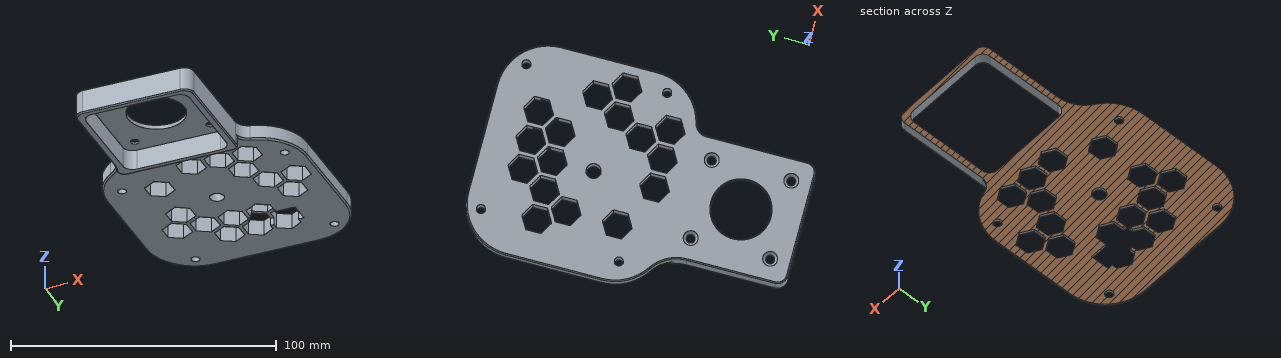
import cadquery as cq
import math

total_height = 10.4
plate_thickness = 6.5
plate_bottom = total_height - plate_thickness
edge_chamfer = 0.5
plate_underside_chamfer = 0.6

plate_width = 82.5
plate_half_width = plate_width / 2
plate_back = 62.4
plate_front_tangent = 5.0
plate_corner_radius = 20.0

motor_x = -1.7
motor_y = -38.8
neck_width = 48.0
neck_left = motor_x - neck_width / 2
neck_right = motor_x + neck_width / 2
neck_front = -62.4
neck_corner_radius = 4.0
left_flare_radius = 15.0
right_flare_radius = 5.0
block_back = -15.2
block_corner_radius = 3.0

motor_pocket_size = 42.5
motor_pocket_corner = 4.0
motor_floor_thickness = 2.0
pilot_diameter = 22.8
pilot_chamfer = 0.31
motor_screw_spacing = 31.0
motor_screw_diameter = 3.2
motor_screw_head_diameter = 5.6
countersink_angle = 90

axle_diameter = 5.6
axle_y = 18.6
plate_screw_diameter = 3.4
plate_screw_points = [(-26.7, 55.8), (31.3, 53.5), (-32.8, 0.5), (34.3, -0.5)]

slot_left = 2.6
slot_right = 22.5
slot_front = 36.7
slot_back = 44.9
slot_depth = 3.1

hex_flats = 10.0
hex_pitch = 11.5
hex_row_pitch = hex_pitch * math.sqrt(3) / 2
hex_origin_x = -2.0
hex_origin_y = -5.2
hex_rows = {
    0: [0, 1, 2],
    1: [-1.5, 1.5],
    2: [2, 3],
    3: [-1.5, 2.5],
    4: [-2, -1, 0, 1],
    5: [-0.5, 0.5, 1.5],
}


def flare(side, neck_x, flare_radius):
    """Tangent points and arc middles where a plate corner blends into the neck.

    side is -1 for the left edge and 1 for the right edge.
    """
    corner_x = side * (plate_half_width - plate_corner_radius)
    corner_y = plate_front_tangent
    flare_x = neck_x + side * flare_radius
    reach = plate_corner_radius + flare_radius
    flare_y = corner_y - math.sqrt(reach**2 - (flare_x - corner_x) ** 2)
    turn = math.atan2(flare_y - corner_y, side * (flare_x - corner_x))

    def on_corner(angle):
        return (
            corner_x + side * plate_corner_radius * math.cos(angle),
            corner_y + plate_corner_radius * math.sin(angle),
        )

    def on_flare(angle):
        return (
            flare_x - side * flare_radius * math.cos(angle),
            flare_y - flare_radius * math.sin(angle),
        )

    return {
        "corner_middle": on_corner(turn / 2),
        "joint": on_corner(turn),
        "flare_middle": on_flare(turn / 2),
        "neck": (neck_x, flare_y),
    }


def outline(base_z):
    """Plate and neck outline with its back and front corners still sharp."""
    left = flare(-1, neck_left, left_flare_radius)
    right = flare(1, neck_right, right_flare_radius)
    return (
        cq.Workplane("XY", origin=(0, 0, base_z))
        .moveTo(-plate_half_width, plate_back)
        .lineTo(-plate_half_width, plate_front_tangent)
        .threePointArc(left["corner_middle"], left["joint"])
        .threePointArc(left["flare_middle"], left["neck"])
        .lineTo(neck_left, neck_front)
        .lineTo(neck_right, neck_front)
        .lineTo(*right["neck"])
        .threePointArc(right["flare_middle"], right["joint"])
        .threePointArc(right["corner_middle"], (plate_half_width, plate_front_tangent))
        .lineTo(plate_half_width, plate_back)
        .close()
    )


def slab(base_z, height):
    """Whole outline as a slab, with its back and neck corners rounded."""
    body = outline(base_z).extrude(height)
    body = body.edges("|Z and >Y").fillet(plate_corner_radius)
    return body.edges("|Z and <Y").fillet(neck_corner_radius)


def plate():
    body = slab(plate_bottom, plate_thickness).faces(">Z").chamfer(edge_chamfer)
    return body.faces("<Z").chamfer(plate_underside_chamfer)


def motor_block():
    """Neck part of the outline, reaching up into the plate and thickening it downward."""
    height = plate_bottom + plate_thickness / 2
    behind = cq.Workplane("XY").box(
        plate_width, plate_back - block_back, height, centered=(True, False, False)
    )
    block = slab(0, height).cut(behind.translate((0, block_back, 0)))
    block = block.edges("|Z and >Y").fillet(block_corner_radius)
    return block.faces("<Z").chamfer(edge_chamfer)


def motor_seat():
    """Square pocket from below and a pilot hole with a beveled top rim."""
    pocket = (
        cq.Workplane("XY", origin=(motor_x, motor_y, 0))
        .rect(motor_pocket_size, motor_pocket_size)
        .extrude(total_height - motor_floor_thickness)
        .edges("|Z")
        .fillet(motor_pocket_corner)
    )
    pilot = cq.Workplane("XY", origin=(motor_x, motor_y, 0)).circle(pilot_diameter / 2).extrude(total_height)
    rim = cq.Workplane(
        cq.Solid.makeCone(
            pilot_diameter / 2,
            pilot_diameter / 2 + pilot_chamfer,
            pilot_chamfer,
            pnt=cq.Vector(motor_x, motor_y, total_height - pilot_chamfer),
        )
    )
    return pocket.union(pilot).union(rim)


def add_motor_screws(body):
    return (
        body.faces(">Z")
        .workplane(origin=(motor_x, motor_y, total_height))
        .rect(motor_screw_spacing, motor_screw_spacing, forConstruction=True)
        .vertices()
        .cskHole(motor_screw_diameter, motor_screw_head_diameter, countersink_angle)
    )


def plate_holes():
    base = cq.Workplane("XY")
    screws = base.pushPoints(plate_screw_points).circle(plate_screw_diameter / 2).extrude(total_height)
    axle = base.center(motor_x, axle_y).circle(axle_diameter / 2).extrude(total_height)
    return screws.union(axle)


def underside_slot():
    return cq.Workplane("XY", origin=(slot_left, slot_front, plate_bottom)).box(
        slot_right - slot_left, slot_back - slot_front, slot_depth, centered=False
    )


def honeycomb():
    """Hexagonal openings with corners pointing along Y."""
    centers = [
        (hex_origin_x + column * hex_pitch, hex_origin_y + row * hex_row_pitch)
        for row, columns in hex_rows.items()
        for column in columns
    ]
    corner_radius = hex_flats / math.sqrt(3)
    corners = [
        (corner_radius * math.sin(math.radians(a)), corner_radius * math.cos(math.radians(a)))
        for a in range(0, 360, 60)
    ]
    cell = cq.Workplane("XY").polyline(corners).close().extrude(total_height).val()
    return cq.Workplane("XY").pushPoints(centers).eachpoint(lambda place: cell.moved(place))


result = plate().union(motor_block())
result = result.cut(motor_seat()).cut(plate_holes())
result = result.cut(honeycomb()).cut(underside_slot())
result = add_motor_screws(result)